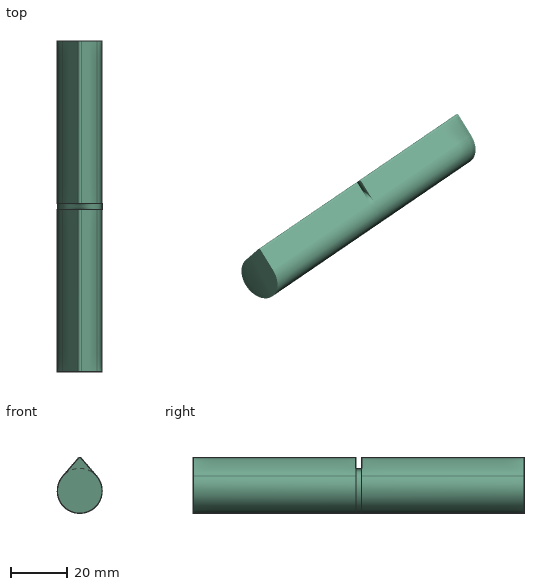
import cadquery as cq
import math


TOTAL_LENGTH = 118.0
BARREL_DIAMETER = 16.0
HEIGHT = 20.0
EDGE_RADIUS = 0.7
WASHER_THICKNESS = 2.0

BARREL_RADIUS = BARREL_DIAMETER / 2
EDGE_TOP = HEIGHT - BARREL_RADIUS
EDGE_CENTER = EDGE_TOP - EDGE_RADIUS
KNUCKLE_LENGTH = (TOTAL_LENGTH - WASHER_THICKNESS) / 2


def extrude_along_y(profile, length, start_y):
    """Extrude a profile drawn on the XZ plane toward +Y, starting at start_y."""
    return profile.extrude(-length).translate((0, start_y, 0))


def make_knuckle(start_y):
    """Teardrop bar: a round barrel and a small rounded weld edge joined by two tangent flanks."""
    tangent_angle = math.asin((BARREL_RADIUS - EDGE_RADIUS) / EDGE_CENTER)
    barrel_x = BARREL_RADIUS * math.cos(tangent_angle)
    barrel_z = BARREL_RADIUS * math.sin(tangent_angle)
    edge_x = EDGE_RADIUS * math.cos(tangent_angle)
    edge_z = EDGE_CENTER + EDGE_RADIUS * math.sin(tangent_angle)

    teardrop = (
        cq.Workplane("XZ")
        .moveTo(edge_x, edge_z)
        .lineTo(barrel_x, barrel_z)
        .threePointArc((0, -BARREL_RADIUS), (-barrel_x, barrel_z))
        .lineTo(-edge_x, edge_z)
        .threePointArc((0, EDGE_TOP), (edge_x, edge_z))
        .close()
    )
    return extrude_along_y(teardrop, KNUCKLE_LENGTH, start_y)


def make_washer():
    """Round washer that fills the gap between the knuckles, flush with the barrels."""
    disc = cq.Workplane("XZ").circle(BARREL_RADIUS)
    return extrude_along_y(disc, WASHER_THICKNESS, -WASHER_THICKNESS / 2)


knuckle_starts = [-TOTAL_LENGTH / 2, WASHER_THICKNESS / 2]
knuckles = [make_knuckle(start_y).val() for start_y in knuckle_starts]
washer = make_washer()

result = cq.Compound.makeCompound([*knuckles, washer.val()])